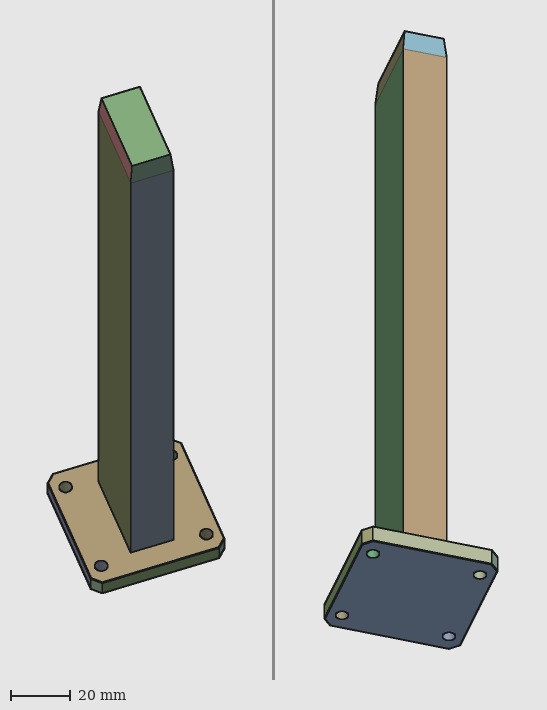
import cadquery as cq

total_height = 228.6

flange_side = 47.62
flange_thickness = 6.35
flange_corner_chamfer = 3.0
flange_rim_chamfer = 0.25

bolt_hole_diameter = 4.3
bolt_spacing_x = 34.34
bolt_spacing_y = 37.44

column_width_x = 31.1
column_width_y = 15.3

cap_height = 8.35
cap_inset = 0.8
cap_top_x = column_width_x - 2 * cap_inset
cap_top_y = column_width_y - 2 * cap_inset

column_height = total_height - flange_thickness - cap_height


def make_flange():
    """Square plate with chamfered corners and rims, and four through bolt holes."""
    plate = (
        cq.Workplane("XY")
        .rect(flange_side, flange_side)
        .extrude(flange_thickness)
        .edges("|Z")
        .chamfer(flange_corner_chamfer)
        .faces("<Z or >Z")
        .chamfer(flange_rim_chamfer)
    )
    return (
        plate.faces(">Z")
        .workplane()
        .rect(bolt_spacing_x, bolt_spacing_y, forConstruction=True)
        .vertices()
        .hole(bolt_hole_diameter)
    )


def make_column():
    """Straight rectangular column standing on the flange."""
    return (
        cq.Workplane("XY")
        .workplane(offset=flange_thickness)
        .rect(column_width_x, column_width_y)
        .extrude(column_height)
    )


def make_cap():
    """Four-sided taper from the column section to the smaller top face."""
    return (
        cq.Workplane("XY")
        .workplane(offset=flange_thickness + column_height)
        .rect(column_width_x, column_width_y)
        .workplane(offset=cap_height)
        .rect(cap_top_x, cap_top_y)
        .loft(ruled=True)
    )


result = make_flange().union(make_column()).union(make_cap())